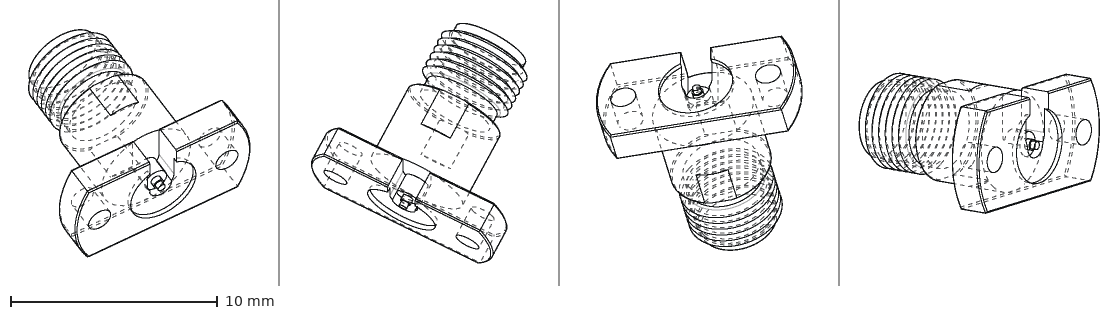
import cadquery as cq
import math

total_length = 9.45
flange_width = 9.87
flange_height = 5.08
flange_start = 7.83
flange_chamfer = 0.08
flange_half_height = flange_height / 2

neck_radius = 1.895
barrel_radius = 2.5
barrel_start = 3.81
barrel_chamfer = 0.07
flat_height = 2.37
flat_end = 5.82

thread_start = 0.48
first_crest = 0.7
thread_pitch = 0.4
crest_count = 6
crest_radius = 2.33
root_radius = 2.0
thread_runout = root_radius - neck_radius

hole_radius = 0.62
hole_offset = 3.58

slot_start = 7.8
slot_radius = 0.75
slot_center_height = 0.49
recess_radius = 1.84
recess_depth = 0.25
recess_floor = total_length - recess_depth
insulator_radius = 0.61
insulator_end = 8.74
pin_radius = 0.27
pin_end = 9.03
tip_radius = 0.2
tip_end = 9.3


def x_cylinder(radius, start, end, y=0):
    """Cylinder parallel to X, from start to end."""
    return cq.Workplane("YZ", origin=(start, y, 0)).circle(radius).extrude(end - start)


def make_flange():
    half_chord = math.sqrt((flange_width / 2) ** 2 - flange_half_height ** 2)
    outline = (
        cq.Workplane("YZ", origin=(flange_start, 0, 0))
        .moveTo(-half_chord, -flange_half_height)
        .lineTo(half_chord, -flange_half_height)
        .threePointArc((flange_width / 2, 0), (half_chord, flange_half_height))
        .lineTo(-half_chord, flange_half_height)
        .threePointArc((-flange_width / 2, 0), (-half_chord, -flange_half_height))
        .close()
    )
    flange = outline.extrude(total_length - flange_start)
    flange = flange.faces("<X or >X").edges().chamfer(flange_chamfer)
    for y in (-hole_offset, hole_offset):
        flange = flange.cut(x_cylinder(hole_radius, flange_start, total_length, y))
    return flange


def make_barrel():
    barrel = x_cylinder(barrel_radius, barrel_start, flange_start)
    barrel = barrel.faces("<X").edges().chamfer(barrel_chamfer)
    flat_length = flat_end - barrel_start
    flat_depth = barrel_radius - flat_height
    for side in (-1, 1):
        flat = cq.Workplane("XY").box(flat_length, 2 * barrel_radius, flat_depth)
        flat_center = (barrel_start + flat_length / 2, 0, side * (flat_height + flat_depth / 2))
        barrel = barrel.cut(flat.translate(flat_center))
    return barrel


def make_threaded_neck():
    profile = cq.Workplane("XY").lineTo(0, neck_radius).lineTo(thread_start, neck_radius)
    profile = profile.lineTo(thread_start, root_radius)
    for index in range(crest_count):
        crest = first_crest + index * thread_pitch
        profile = profile.lineTo(crest, crest_radius)
        profile = profile.lineTo(crest + thread_pitch / 2, root_radius)
    last_root = first_crest + (crest_count - 0.5) * thread_pitch
    profile = profile.lineTo(last_root + thread_runout, neck_radius)
    profile = profile.lineTo(barrel_start, neck_radius).lineTo(barrel_start, 0).close()
    return profile.revolve(360, (0, 0, 0), (1, 0, 0))


def make_slot():
    """Round-bottomed slot, open at the top of the flange."""
    return (
        cq.Workplane("YZ", origin=(slot_start, 0, 0))
        .moveTo(-slot_radius, flange_half_height)
        .lineTo(-slot_radius, slot_center_height)
        .threePointArc((0, slot_center_height - slot_radius), (slot_radius, slot_center_height))
        .lineTo(slot_radius, flange_half_height)
        .close()
        .extrude(total_length - slot_start)
    )


result = make_flange().union(make_barrel()).union(make_threaded_neck())

result = result.cut(make_slot())
result = result.cut(x_cylinder(recess_radius, recess_floor, total_length))
result = result.cut(x_cylinder(insulator_radius, insulator_end, recess_floor))

result = result.union(x_cylinder(insulator_radius, slot_start, insulator_end))
result = result.union(x_cylinder(pin_radius, insulator_end, pin_end))
result = result.union(x_cylinder(tip_radius, pin_end, tip_end))